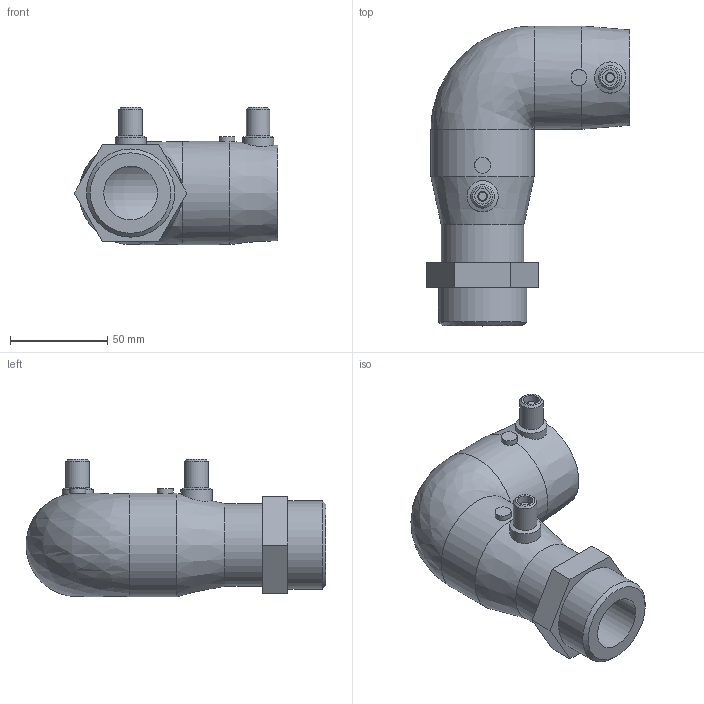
import cadquery as cq
import math


ELBOW_RADIUS = 26.5
BEND_RADIUS = ELBOW_RADIUS
SECTION_LENGTH = 24.5
TAPER_START = BEND_RADIUS + SECTION_LENGTH
TAPER_END = TAPER_START + SECTION_LENGTH
SOCKET_END_RADIUS = 24.5
SOCKET_BORE_RADIUS = 20.0

NECK_RADIUS = 21.25
NECK_LENGTH = 19.5
HEX_ACROSS_FLATS = 50.0
HEX_LENGTH = 13.0
THREAD_RADIUS = 22.65
THREAD_LENGTH = 19.5
THREAD_CHAMFER = 2.0
FITTING_BORE_RADIUS = 13.8
HEX_START = TAPER_END + NECK_LENGTH
THREAD_START = HEX_START + HEX_LENGTH
FITTING_END = THREAD_START + THREAD_LENGTH

TERMINAL_INSET = 10.0
TERMINAL_X = TAPER_END - TERMINAL_INSET
TERMINAL_Y = -(TAPER_START + TERMINAL_INSET)
TERMINAL_TO_INDICATOR = 16.0
COLLAR_RADIUS = 8.0
COLLAR_TOP = 29.4
COLLAR_RIM_HEIGHT = 28.6
SLEEVE_RADIUS = 6.05
SLEEVE_TOP = 44.0
SLEEVE_CHAMFER = 1.0
SLEEVE_BORE_RADIUS = 4.0
SLEEVE_BORE_DEPTH = 12.0
CONTACT_RADIUS = 2.5
CONTACT_CHAMFER = 0.4
CONTACT_RECESS = 2.5
INDICATOR_RADIUS = 4.1
INDICATOR_TOP = 29.0


def frustum_x(start, end, start_radius, end_radius):
    """Round section about the X axis, from x = start to x = end."""
    outline = [(start, 0), (end, 0), (end, -end_radius), (start, -start_radius)]
    return cq.Workplane("XY").polyline(outline).close().revolve(360, (0, 0), (1, 0))


def frustum_y(start, end, start_radius, end_radius):
    """Round section about the Y axis, start and end measured towards -Y."""
    outline = [(0, -start), (0, -end), (-end_radius, -end), (-start_radius, -start)]
    return cq.Workplane("XY").polyline(outline).close().revolve(360, (0, 0), (0, 1))


def bend(radius):
    """Quarter bend joining the ends of the two legs."""
    turn_axis_start = (BEND_RADIUS, 1)
    turn_axis_end = (BEND_RADIUS, 0)
    return (
        cq.Workplane("XZ", origin=(0, -BEND_RADIUS, 0))
        .circle(radius)
        .revolve(90, turn_axis_start, turn_axis_end)
    )


def elbow_body():
    body = bend(ELBOW_RADIUS)
    body = body.union(frustum_x(BEND_RADIUS, TAPER_START, ELBOW_RADIUS, ELBOW_RADIUS))
    body = body.union(frustum_x(TAPER_START, TAPER_END, ELBOW_RADIUS, SOCKET_END_RADIUS))
    body = body.union(frustum_y(BEND_RADIUS, TAPER_START, ELBOW_RADIUS, ELBOW_RADIUS))
    return body.union(frustum_y(TAPER_START, TAPER_END, ELBOW_RADIUS, NECK_RADIUS))


def threaded_fitting():
    hex_corner_diameter = HEX_ACROSS_FLATS / math.cos(math.pi / 6)
    neck = frustum_y(TAPER_END, HEX_START, NECK_RADIUS, NECK_RADIUS)
    hexagon = (
        cq.Workplane("XZ", origin=(0, -HEX_START, 0))
        .polygon(6, hex_corner_diameter)
        .extrude(HEX_LENGTH)
    )
    thread = frustum_y(THREAD_START, FITTING_END, THREAD_RADIUS, THREAD_RADIUS)
    thread = thread.faces("<Y").chamfer(THREAD_CHAMFER)
    return neck.union(hexagon).union(thread)


def flow_passage():
    bore = bend(SOCKET_BORE_RADIUS)
    bore = bore.union(frustum_x(BEND_RADIUS, TAPER_END, SOCKET_BORE_RADIUS, SOCKET_BORE_RADIUS))
    bore = bore.union(frustum_y(BEND_RADIUS, TAPER_START, SOCKET_BORE_RADIUS, SOCKET_BORE_RADIUS))
    return bore.union(frustum_y(TAPER_START, FITTING_END, FITTING_BORE_RADIUS, FITTING_BORE_RADIUS))


def terminal(x, y):
    """Collar with a sloping top, carrying a hollow sleeve with a contact pin inside."""
    embedded_bottom = (SOCKET_BORE_RADIUS + NECK_RADIUS) / 2
    bore_floor = SLEEVE_TOP - SLEEVE_BORE_DEPTH
    contact_top = SLEEVE_TOP - CONTACT_RECESS
    radius_and_height = [
        (0, embedded_bottom),
        (COLLAR_RADIUS, embedded_bottom),
        (COLLAR_RADIUS, COLLAR_RIM_HEIGHT),
        (SLEEVE_RADIUS, COLLAR_TOP),
        (SLEEVE_RADIUS, SLEEVE_TOP - SLEEVE_CHAMFER),
        (SLEEVE_RADIUS - SLEEVE_CHAMFER, SLEEVE_TOP),
        (SLEEVE_BORE_RADIUS, SLEEVE_TOP),
        (SLEEVE_BORE_RADIUS, bore_floor),
        (CONTACT_RADIUS, bore_floor),
        (CONTACT_RADIUS, contact_top - CONTACT_CHAMFER),
        (CONTACT_RADIUS - CONTACT_CHAMFER, contact_top),
        (0, contact_top),
    ]
    outline = [(-radius, height) for radius, height in radius_and_height]
    return cq.Workplane("YZ", origin=(x, y, 0)).polyline(outline).close().revolve(360, (0, 0), (0, 1))


def indicator(x, y):
    """Small round button standing on the elbow."""
    embedded_bottom = (SOCKET_BORE_RADIUS + ELBOW_RADIUS) / 2
    height = INDICATOR_TOP - embedded_bottom
    return cq.Workplane("XY", origin=(x, y, embedded_bottom)).circle(INDICATOR_RADIUS).extrude(height)


result = elbow_body().union(threaded_fitting())
result = result.union(terminal(TERMINAL_X, 0)).union(terminal(0, TERMINAL_Y))
result = result.union(indicator(TERMINAL_X - TERMINAL_TO_INDICATOR, 0))
result = result.union(indicator(0, TERMINAL_Y + TERMINAL_TO_INDICATOR))
result = result.cut(flow_passage())